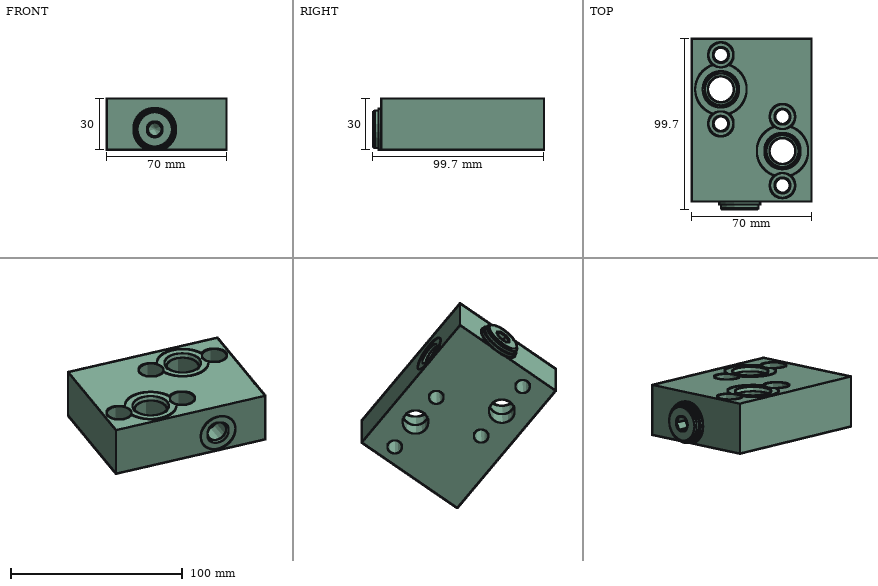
import cadquery as cq
import math

block_width = 70.0
block_length = 95.0
block_height = 30.0

port_x = 17.0
port_y = 65.5
port_face_diameter = 30.0
port_mouth_diameter = 21.2
port_bore_diameter = 18.6
port_bore_depth = 17.9
port_passage_diameter = 15

screw_spacing = 20.0
screw_mouth_diameter = 15
screw_head_diameter = 14.5
screw_head_depth = 9
screw_step_diameter = 9.3
screw_hole_diameter = 8.5

side_port_y = 30.0
side_face_diameter = 22.0
side_mouth_diameter = 13.7
side_bore_diameter = 11.8
side_bore_depth = 15

plug_x = 28.0
plug_face_diameter = 25.0
plug_flange_diameter = 24.0
plug_flange_end = 1.7
plug_head_diameter = 22.0
plug_chamfer = 1
overall_length = 99.7
plug_end = overall_length - block_length
socket_mouth_diameter = 9.3
socket_width_across_flats = 8
socket_depth = 8

side_axis_height = plug_flange_diameter / 2

face_recess = 0.3
drill_tip_angle = 118
port_mouth_taper = 30
screw_mouth_taper = 45
socket_mouth_taper = 60


def disc(diameter, start, end):
    """Cylinder along Z between two heights."""
    return cq.Workplane("XY").workplane(offset=start).circle(diameter / 2).extrude(end - start)


def revolved(profile):
    """Solid of revolution about Z from (radius, height) points."""
    return cq.Workplane("XZ").polyline(profile).close().revolve(360, (0, 0, 0), (0, 1, 0))


def taper_depth(large_radius, small_radius, taper):
    """Depth of a conical mouth whose wall leans from the axis by the taper angle."""
    return (large_radius - small_radius) / math.tan(math.radians(taper))


def drilled_hole(mouth_diameter, diameter, depth, mouth_taper, start):
    """Blind hole going down from Z = start, with a tapered mouth and a conical drill tip."""
    mouth_radius = mouth_diameter / 2
    radius = diameter / 2
    tip_length = taper_depth(radius, 0, drill_tip_angle / 2)
    profile = [
        (0, start),
        (mouth_radius, start),
        (radius, start - taper_depth(mouth_radius, radius, mouth_taper)),
        (radius, start - depth),
        (0, start - depth - tip_length),
    ]
    return revolved(profile)


def counterbored_hole(mouth_diameter, bore_diameter, bore_depth, through_diameter, mouth_taper, top):
    """Through hole from Z = top to the bottom face, with a tapered mouth above its wider upper bore."""
    mouth_radius = mouth_diameter / 2
    bore_radius = bore_diameter / 2
    through_radius = through_diameter / 2
    floor = top - bore_depth
    profile = [
        (0, top),
        (mouth_radius, top),
        (bore_radius, top - taper_depth(mouth_radius, bore_radius, mouth_taper)),
        (bore_radius, floor),
        (through_radius, floor),
        (through_radius, 0),
        (0, 0),
    ]
    return revolved(profile)


def screw_hole():
    """Counterbored screw hole with a chamfer where the counterbore steps down to the shank."""
    hole = counterbored_hole(
        screw_mouth_diameter,
        screw_head_diameter,
        screw_head_depth,
        screw_hole_diameter,
        screw_mouth_taper,
        block_height,
    )
    floor = block_height - screw_head_depth
    step_radius = screw_step_diameter / 2
    step_chamfer = [(0, floor), (step_radius, floor), (0, floor - step_radius)]
    return hole.union(revolved(step_chamfer))


def main_port():
    """Shallow sealing face, stepped bore and two screw holes, centred on the port axis."""
    face_height = block_height - face_recess
    cut = disc(port_face_diameter, face_height, block_height)
    cut = cut.union(
        counterbored_hole(
            port_mouth_diameter,
            port_bore_diameter,
            port_bore_depth,
            port_passage_diameter,
            port_mouth_taper,
            face_height,
        )
    )
    for y in (-screw_spacing, screw_spacing):
        cut = cut.union(screw_hole().translate((0, y, 0)))
    return cut


def side_port():
    """Shallow sealing face and blind bore, entering the left face."""
    cut = disc(side_face_diameter, -face_recess, 0)
    cut = cut.union(
        drilled_hole(side_mouth_diameter, side_bore_diameter, side_bore_depth, port_mouth_taper, -face_recess)
    )
    return cut.rotate((0, 0, 0), (0, 1, 0), -90).translate((0, side_port_y, side_axis_height))


def onto_front_face(shape):
    """Turn a shape that points up so that it points out of the front face at the plug."""
    return shape.rotate((0, 0, 0), (1, 0, 0), 90).translate((plug_x, 0, side_axis_height))


def plug():
    """Flange and chamfered head with a socket."""
    body = disc(plug_head_diameter, -face_recess, plug_end).faces(">Z").chamfer(plug_chamfer)
    body = body.union(disc(plug_flange_diameter, -face_recess, plug_flange_end))
    return onto_front_face(body)


def plug_socket():
    """Hexagon socket with two flats level, a tapered mouth and a drill tip at its floor."""
    pilot = drilled_hole(
        socket_mouth_diameter,
        socket_width_across_flats,
        socket_depth,
        socket_mouth_taper,
        plug_end,
    )
    hexagon = (
        cq.Workplane("XY")
        .workplane(offset=plug_end)
        .polygon(6, socket_width_across_flats, circumscribed=True)
        .extrude(-socket_depth)
        .rotate((0, 0, 0), (0, 0, 1), 30)
    )
    return onto_front_face(pilot.union(hexagon))


block = cq.Workplane("XY").box(block_width, block_length, block_height, centered=False)
port_places = [(port_x, port_y), (block_width - port_x, block_length - port_y)]
for x, y in port_places:
    block = block.cut(main_port().translate((x, y, 0)))
block = block.cut(side_port())
block = block.cut(onto_front_face(disc(plug_face_diameter, -face_recess, 0)))

result = block.union(plug()).cut(plug_socket())